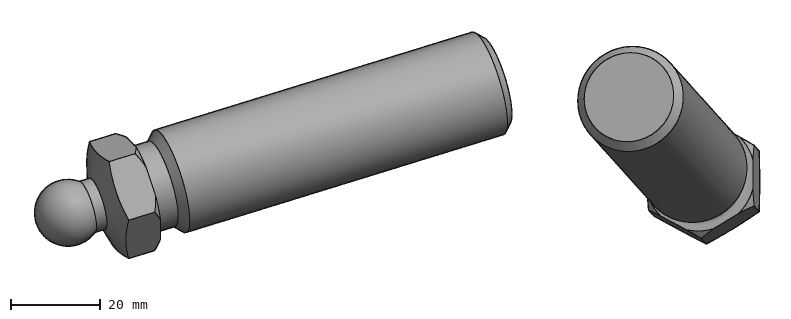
import cadquery as cq
import math

total_length = 110.0
ball_radius = 7.5
neck_radius = 6.0

hex_across_flats = 24.0
hex_corner_radius = hex_across_flats / math.sqrt(3)
hex_front = 14.5
hex_back = 25.0
front_cone_angle = 20.0
back_chamfer = 1.4

shank_radius = 12.0
groove_radius = 10.0
groove_fillet = 1.0
groove_end = 30.0
end_chamfer = 1.84

hex_front_y = hex_front - ball_radius
hex_back_y = hex_back - ball_radius
groove_end_y = groove_end - ball_radius
shank_end_y = total_length - ball_radius


def revolve_about_y(profile):
    return profile.close().revolve(360, (0, 0, 0), (0, 1, 0))


def make_ball_and_neck():
    ball = cq.Workplane("XY").sphere(ball_radius)
    neck = revolve_about_y(
        cq.Workplane("XY")
        .lineTo(neck_radius, 0)
        .lineTo(neck_radius, hex_front_y)
        .lineTo(0, hex_front_y)
    )
    return ball.union(neck)


def make_collar():
    hexagon = (
        cq.Workplane("XZ", origin=(0, hex_front_y, 0))
        .polygon(6, 2 * hex_corner_radius)
        .extrude(hex_front_y - hex_back_y)
        .rotate((0, 0, 0), (0, 1, 0), 90)
    )
    cone_depth = (hex_corner_radius - neck_radius) * math.tan(math.radians(front_cone_angle))
    envelope = revolve_about_y(
        cq.Workplane("XY")
        .moveTo(0, hex_front_y)
        .lineTo(neck_radius, hex_front_y)
        .lineTo(hex_corner_radius, hex_front_y + cone_depth)
        .lineTo(hex_corner_radius, hex_back_y - back_chamfer)
        .lineTo(hex_corner_radius - back_chamfer, hex_back_y)
        .lineTo(0, hex_back_y)
    )
    return hexagon.intersect(envelope)


def make_shank():
    fillet_centre = (groove_radius + groove_fillet, hex_back_y + groove_fillet)
    fillet_reach = groove_fillet * math.sqrt(0.5)
    fillet_middle = (fillet_centre[0] - fillet_reach, fillet_centre[1] - fillet_reach)
    return revolve_about_y(
        cq.Workplane("XY")
        .moveTo(0, hex_back_y)
        .lineTo(groove_radius + groove_fillet, hex_back_y)
        .threePointArc(fillet_middle, (groove_radius, hex_back_y + groove_fillet))
        .lineTo(groove_radius, groove_end_y)
        .lineTo(shank_radius, groove_end_y + shank_radius - groove_radius)
        .lineTo(shank_radius, shank_end_y - end_chamfer)
        .lineTo(shank_radius - end_chamfer, shank_end_y)
        .lineTo(0, shank_end_y)
    )


result = make_ball_and_neck().union(make_collar()).union(make_shank())